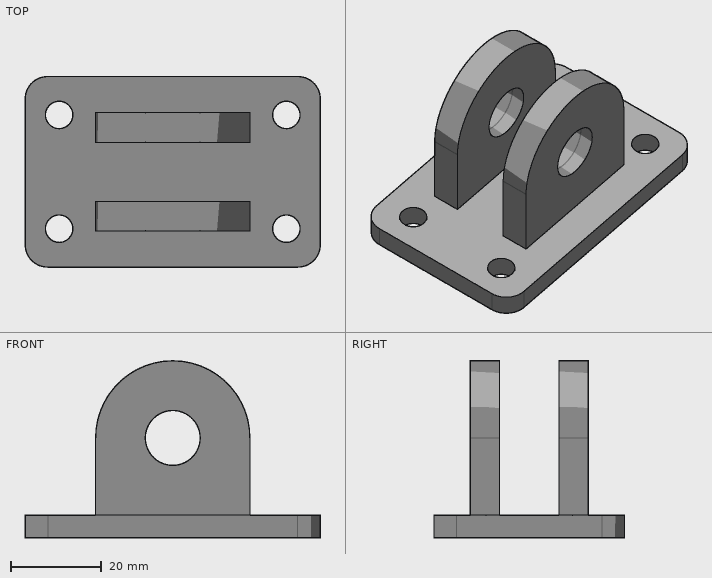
import cadquery as cq

plate_length = 65.0
plate_width = 42.0
plate_thickness = 5.0
corner_radius = 5.0

mount_hole_diameter = 6.0
mount_spacing_x = 50.0
mount_spacing_y = 25.0

total_height = 39.0
lug_width = 34.0
lug_thickness = 6.5
lug_gap = 13.0
pin_hole_diameter = 12.0

lug_radius = lug_width / 2
pin_height = total_height - lug_radius
lug_offset = (lug_gap + lug_thickness) / 2


def make_plate():
    """Rounded base plate resting on Z = 0, with four through holes."""
    return (
        cq.Workplane("XY")
        .rect(plate_length, plate_width)
        .extrude(plate_thickness)
        .edges("|Z")
        .fillet(corner_radius)
        .faces(">Z")
        .workplane()
        .rect(mount_spacing_x, mount_spacing_y, forConstruction=True)
        .vertices()
        .hole(mount_hole_diameter)
    )


def make_lug(center_y):
    """Round-topped lug with a pin hole, its thickness centred on center_y."""
    blank = (
        cq.Workplane("XZ", origin=(0, center_y, 0))
        .moveTo(-lug_radius, plate_thickness)
        .lineTo(lug_radius, plate_thickness)
        .lineTo(lug_radius, pin_height)
        .threePointArc((0, total_height), (-lug_radius, pin_height))
        .close()
        .extrude(lug_thickness / 2, both=True)
    )
    pin_hole = (
        cq.Workplane("XZ", origin=(0, center_y, pin_height))
        .circle(pin_hole_diameter / 2)
        .extrude(lug_thickness, both=True)
    )
    return blank.cut(pin_hole)


result = make_plate()
for side in (-1, 1):
    result = result.union(make_lug(side * lug_offset))